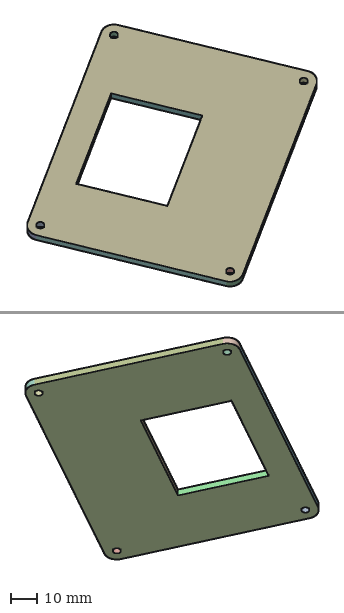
import cadquery as cq

width = 85.0
length = 105.0
thickness = 3.0
corner_radius = 5.0

hole_diameter = 3.0
hole_spacing_x = width - 2 * corner_radius
hole_spacing_y = length - 2 * corner_radius

window_width = 36.0
window_length = 45.0
window_left_margin = 12.2
window_front_margin = 27.9
window_x = -width / 2 + window_left_margin + window_width / 2
window_y = -length / 2 + window_front_margin + window_length / 2

plate = (
    cq.Workplane("XY")
    .rect(width, length)
    .extrude(thickness)
    .edges("|Z")
    .fillet(corner_radius)
)

holes = (
    cq.Workplane("XY")
    .rect(hole_spacing_x, hole_spacing_y, forConstruction=True)
    .vertices()
    .circle(hole_diameter / 2)
    .extrude(thickness)
)

window = (
    cq.Workplane("XY")
    .center(window_x, window_y)
    .rect(window_width, window_length)
    .extrude(thickness)
)

result = plate.cut(holes).cut(window)